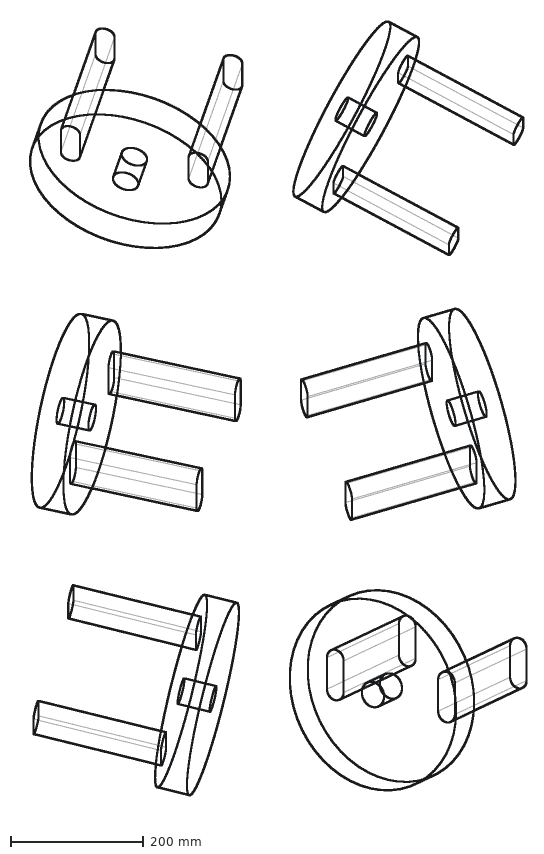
import cadquery as cq

disc_diameter = 300.0
total_depth = 250.0
disc_thickness = 50.0
bore_diameter = 40.0
arm_width = 30.0
arm_height = 80.0
arm_spacing = 200.0



def make_disc():
    """Round plate with a central through bore."""
    return (
        cq.Workplane("XZ")
        .circle(disc_diameter / 2)
        .circle(bore_diameter / 2)
        .extrude(-disc_thickness)
    )


def make_arms():
    """Two upright bars with fully rounded ends, behind the disc."""
    return (
        cq.Workplane("XZ", origin=(0, disc_thickness, 0))
        .pushPoints([(-arm_spacing / 2, 0), (arm_spacing / 2, 0)])
        .slot2D(arm_height, arm_width, 90)
        .extrude(-(total_depth - disc_thickness))
    )


result = make_disc().union(make_arms())